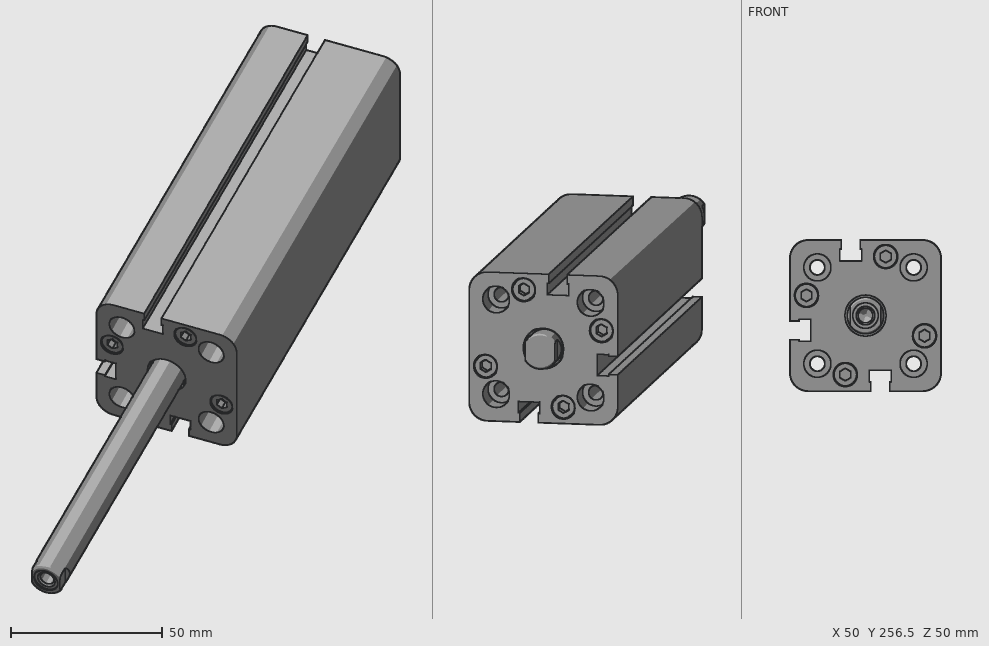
import cadquery as cq
import math

total_length = 256.5
body_width = 50.0
body_length = 144.2
rear_rod_length = 6.0
front_rod_length = total_length - body_length - rear_rod_length
corner_radius = 6.2

slot_offset = 5.0
slot_mouth_width = 6.2
slot_inner_width = 7.2
slot_depth = 7.0
slot_lip_thickness = 3.0

mount_spacing = 31.8
mount_hole_diameter = 5.0
mount_bore_diameter = 9.0
mount_bore_depth = 9.0

screw_near = 6.7
screw_far = 19.5
screw_pocket_diameter = 8.0
screw_pocket_depth = 3.0
screw_head_diameter = 7.5
screw_recess = 0.5
socket_across_flats = 3.5
socket_depth = 3.0

rod_diameter = 12.0
rod_clearance_diameter = 13.5
rod_clearance_depth = 2.5
rod_across_flats = 10.0
rod_flat_length = 4.5
rod_flat_runout = 1.5
rod_end_radius = 1.0
thread_diameter = 5.0
thread_depth = 12.8
countersink_diameter = 6.2
rod_recess_diameter = 8.5
rod_recess_depth = 0.5
drill_tip_angle = 118.0


def cylinder(diameter, start_y, length, x=0.0, z=0.0):
    """Cylinder along +Y that starts at start_y."""
    axis = cq.Vector(0, 1, 0)
    return cq.Workplane(cq.Solid.makeCylinder(diameter / 2, length, cq.Vector(x, start_y, z), axis))


def box_between(x_range, y_range, z_range):
    """Box given by its lower and upper limit on each axis."""
    sizes = [high - low for low, high in (x_range, y_range, z_range)]
    corner = cq.Vector(x_range[0], y_range[0], z_range[0])
    return cq.Workplane(cq.Solid.makeBox(*sizes, corner))


def both_ends(feature):
    """Feature of the front cap together with its mirror image in the rear cap."""
    return feature.union(feature.mirror("XZ", (0, body_length / 2, 0)))


def t_slot(offset):
    """T-slot cut into the +Z side, centred at X = offset."""
    top = body_width / 2
    floor = top - slot_depth
    along = (0, body_length)
    mouth_half = slot_mouth_width / 2
    inner_half = slot_inner_width / 2
    mouth = box_between((offset - mouth_half, offset + mouth_half), along, (floor, top))
    inner = box_between((offset - inner_half, offset + inner_half), along, (floor, top - slot_lip_thickness))
    return mouth.union(inner)


def turned(feature, angle):
    """Feature turned about the rod axis."""
    return feature.rotate((0, 0, 0), (0, 1, 0), angle)


def body_block():
    """Square bar with rounded long edges."""
    block = box_between(
        (-body_width / 2, body_width / 2), (0, body_length), (-body_width / 2, body_width / 2)
    )
    return block.edges("|Y").fillet(corner_radius)


def mount_hole(x, z):
    """Through hole with a counterbore at each end."""
    counterbore = cylinder(mount_bore_diameter, 0, mount_bore_depth, x, z)
    through = cylinder(mount_hole_diameter, 0, body_length, x, z)
    return both_ends(counterbore).union(through)


def screw_pocket(x, z):
    """Pocket around one sunk screw head, with the hexagonal socket in that head."""
    pocket = cylinder(screw_pocket_diameter, 0, screw_pocket_depth, x, z)
    head = cylinder(screw_head_diameter, screw_recess, screw_pocket_depth - screw_recess, x, z)
    socket_corner_diameter = socket_across_flats / math.cos(math.pi / 6)
    socket = (
        cq.Workplane("XZ", origin=(x, screw_recess, z))
        .transformed(rotate=(0, 0, 90))
        .polygon(6, socket_corner_diameter)
        .extrude(-socket_depth)
    )
    return pocket.cut(head).union(socket)


def threaded_bore():
    """Recessed and countersunk bore with a drill tip, in the front end of the rod."""
    recess_radius = rod_recess_diameter / 2
    radius = thread_diameter / 2
    sink_radius = countersink_diameter / 2
    tip_length = radius / math.tan(math.radians(drill_tip_angle / 2))
    profile = (
        cq.Workplane("XY", origin=(0, -front_rod_length, 0))
        .lineTo(recess_radius, 0)
        .lineTo(recess_radius, rod_recess_depth)
        .lineTo(sink_radius, rod_recess_depth)
        .lineTo(radius, rod_recess_depth + sink_radius - radius)
        .lineTo(radius, thread_depth)
        .lineTo(0, thread_depth + tip_length)
        .close()
    )
    return profile.revolve(360, (0, 0, 0), (0, 1, 0))


def wrench_flat():
    """Material removed for one flat at the front end of the rod, with a sloped runout."""
    depth = rod_diameter / 2 - rod_across_flats / 2
    profile = (
        cq.Workplane("XY", origin=(rod_across_flats / 2, -front_rod_length, -rod_diameter / 2))
        .lineTo(0, rod_flat_length)
        .lineTo(depth, rod_flat_length + rod_flat_runout)
        .lineTo(depth, 0)
        .close()
    )
    return profile.extrude(rod_diameter)


def rod():
    """Rod with rounded ends, two flats at each end and a bore in the front end."""
    bar = cylinder(rod_diameter, -front_rod_length, total_length)
    bar = bar.faces("<Y or >Y").edges().fillet(rod_end_radius)
    rod_middle = total_length / 2 - front_rod_length
    flats = wrench_flat().union(wrench_flat().mirror("YZ"))
    flats = flats.union(flats.mirror("XZ", (0, rod_middle, 0)))
    return bar.cut(flats).cut(threaded_bore())


body = body_block()

for slot_turn in (0, 180, -90):
    body = body.cut(turned(t_slot(-slot_offset), slot_turn))

for x_side in (-1, 1):
    for z_side in (-1, 1):
        body = body.cut(mount_hole(x_side * mount_spacing / 2, z_side * mount_spacing / 2))

screw_x = screw_near
screw_z = screw_far
for quarter_turn in range(4):
    body = body.cut(both_ends(screw_pocket(screw_x, screw_z)))
    screw_x, screw_z = screw_z, -screw_x

body = body.cut(both_ends(cylinder(rod_clearance_diameter, 0, rod_clearance_depth)))

result = body.union(rod())